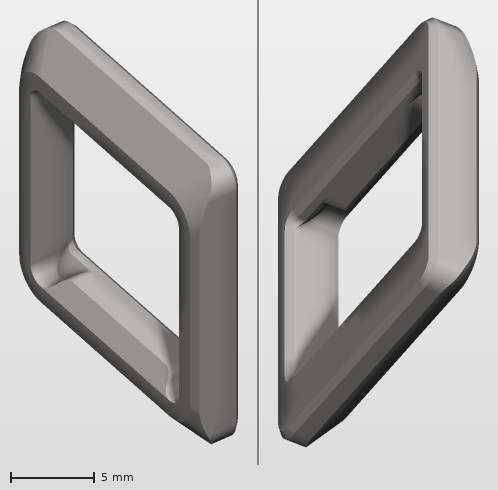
import cadquery as cq
import math

width = 18.7
height = 21.2
thickness = 3.5
outer_radius = 1.6
rear_chamfer = 0.4

bevel_side = 0.4
bevel_end = 2.0
front_width = width - 2 * bevel_side
front_height = height - 2 * bevel_end

rim = 1.19
opening_radius = 1.0
opening_width = front_width - 2 * rim
opening_height = front_height - 2 * rim
front_radius = opening_radius + rim

ledge_rise = 1.05
ledge_radius = 0.5
pocket_depth = 1.5
curve_radius = 1.15


def rounded_block(block_width, block_height, radius, depth):
    block = cq.Workplane("XY").box(block_width, depth, block_height)
    return block.translate((0, depth / 2, 0)).edges("|Y").fillet(radius)


def bevel_envelope():
    """Space behind the bevel, with the same corner radius at every depth."""
    sketch_front = cq.Sketch().rect(front_width, front_height).vertices().fillet(front_radius)
    rear_width = front_width + 2 * bevel_end
    sketch_rear = cq.Sketch().rect(rear_width, height).vertices().fillet(front_radius)
    bevel = (
        cq.Workplane("XZ")
        .placeSketch(sketch_front, sketch_rear.moved(cq.Location(cq.Vector(0, 0, -bevel_end))))
        .loft(ruled=True)
    )
    rear_depth = thickness - bevel_end
    rear = cq.Workplane("XY").box(rear_width, rear_depth, height)
    return bevel.union(rear.translate((0, bevel_end + rear_depth / 2, 0)))


def tapered_space(straight_depth):
    """Full-width space that goes straight in, then narrows at 45 degrees up to the rear."""
    front_half = opening_height / 2
    rear_half = front_half - (thickness - straight_depth)
    taper = (
        cq.Workplane("YZ")
        .moveTo(straight_depth, front_half)
        .lineTo(thickness, rear_half)
        .lineTo(thickness, -rear_half)
        .lineTo(straight_depth, -front_half)
        .close()
        .extrude(width / 2, both=True)
    )
    if straight_depth == 0:
        return taper
    straight = cq.Workplane("XY").box(width, straight_depth, opening_height)
    return taper.union(straight.translate((0, straight_depth / 2, 0)))


def corner_pocket():
    """Lower-left pocket whose S-curved side rises from its floor to the ledge."""
    arc_rise = ledge_rise / 2
    arc_angle = math.acos(1 - arc_rise / curve_radius)
    arc_run = curve_radius * math.sin(arc_angle)
    mid_run = curve_radius * math.sin(arc_angle / 2)
    mid_rise = curve_radius * (1 - math.cos(arc_angle / 2))
    left = -opening_width / 2
    floor = -opening_height / 2
    ledge = floor + ledge_rise
    start = left + opening_radius
    end = start + 2 * arc_run
    profile = (
        cq.Workplane("XZ")
        .moveTo(left, 0)
        .lineTo(left, floor)
        .lineTo(start, floor)
        .threePointArc((start + mid_run, floor + mid_rise), (start + arc_run, floor + arc_rise))
        .threePointArc((end - mid_run, ledge - mid_rise), (end, ledge))
        .lineTo(end, 0)
        .close()
    )
    return profile.extrude(-thickness)


body = rounded_block(width, height, outer_radius, thickness)
body = body.intersect(bevel_envelope())

ledge_opening = opening_height - 2 * ledge_rise
body = body.cut(rounded_block(opening_width, ledge_opening, ledge_radius, thickness))

body = body.faces(">Y").edges().chamfer(rear_chamfer)

opening = rounded_block(opening_width, opening_height, opening_radius, thickness)
body = body.cut(opening.intersect(tapered_space(0)))

lower_left = corner_pocket()
lower_right = lower_left.mirror("YZ")
pocket_space = opening.intersect(tapered_space(pocket_depth))
for corner in (lower_left, lower_right):
    for pocket in (corner, corner.mirror("XY")):
        body = body.cut(pocket.intersect(pocket_space))

result = body